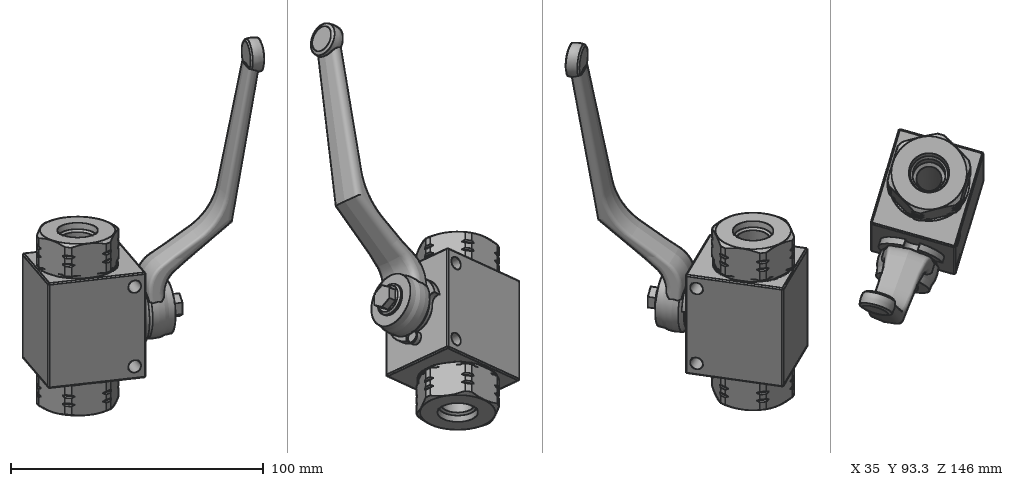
import cadquery as cq
import math


HEX_HALF_SECTOR = 30

BLOCK_WIDTH = 35.0
BLOCK_FRONT_Y = -17.5
BLOCK_BACK_Y = 23.0
BLOCK_HEIGHT = 44.7
BLOCK_CHAMFER = 0.6
MOUNT_HOLE_D = 5.3
MOUNT_HOLE_Y = 18.3
MOUNT_HOLE_Z = 17.0

FITTING_END_Z = 36.5
HEX_FLATS = 30.1
HEX_CORNER_D = 33.3
HEX_FACE_D = 29.8
HEX_CHAMFER_ANGLE = 30
NECK_D = 31.0
NECK_HEIGHT = 0.9
SEAT_D = 32.1
SEAT_DEPTH = 0.5
CORNER_GROOVE_D = 32.3
CORNER_GROOVE_WIDTH = 1.3
CORNER_GROOVE_DEPTHS = (5.1, 8.6)

BORE_D = 10.0
TUBE_SOCKET_D = 13.0
TUBE_SOCKET_DEPTH = 8.8
MOUTH_D = 16.0
MOUTH_BOTTOM_D = 14.9
MOUTH_DEPTH = 2.5
SOCKET_TOP_DEPTH = 3.4
SOCKET_END_ANGLE = 60

PLATE_D = 26.7
PLATE_THICKNESS = 2.8
STOP_PIN_D = 5.3
STOP_PIN_HEIGHT = 2.5
STOP_PIN_CHAMFER = 0.3
STOP_PITCH_R = 12.0
NOTCH_R = 3.0
NOTCH_CENTERS = [(0, STOP_PITCH_R), (-STOP_PITCH_R, 0), (0, -STOP_PITCH_R)]

HUB_BACK_Y = BLOCK_BACK_Y + PLATE_THICKNESS
HUB_END_Y = 34.5
HUB_D = 24.4
HUB_FACE_D = 20.5
HUB_RIM_D = 24.0
HUB_ROUND = 1.8
COVER_BASE_D = 22.6
COVER_TIP_D = 22.0
COVER_END_Y = 37.3
WASHER_D = 13.0
WASHER_TIP_D = 11.1
WASHER_EDGE_Y = 38.1
WASHER_END_Y = 38.9
SCREW_CORNERS = 9.8
SCREW_END_Y = 42.2

ARM_TIP_Z = 99.3
FRONT_ROOT = (HUB_BACK_Y, 17.2)
FRONT_ELBOW = (56.8, 36.7)
FRONT_TIP = (69.1, ARM_TIP_Z)
BACK_TIP = (74.7, ARM_TIP_Z)
BACK_ELBOW = (63.0, 34.6)
BACK_ROOT = (HUB_END_Y, 13.3)
FRONT_ROOT_RADIUS = 13.5
FRONT_ELBOW_RADIUS = 24.8
BACK_ROOT_RADIUS = 10.2

ARM_HUB_HALF_WIDTH = 10.4
ARM_HUB_Z = 6.5
ARM_NECK_HALF_WIDTH = 7.5
ARM_NECK_Z = 22.6
ARM_TIP_HALF_WIDTH = 5.4
ARM_ROOF_ANGLE = 7
ARM_FACE_MIN_NORMAL_Y = 0.1
ARM_BACK_ROUND = 2.6
ARM_FRONT_ROUND = 1.5

KNOB_D = 14.0
KNOB_RIM_D = 13.5
KNOB_FRONT_Y = 69.8
KNOB_BACK_Y = 75.8
KNOB_TOP_Z = 109.5
KNOB_Z = KNOB_TOP_Z - KNOB_D / 2
KNOB_DOME_HEIGHT = 0.6
KNOB_ROUND = 0.7


def disc_along_y(diameter, y_start, y_end, x=0, z=0):
    """Round disc with its axis along Y."""
    return (
        cq.Workplane("XZ", origin=(x, y_start, z))
        .circle(diameter / 2)
        .extrude(y_start - y_end)
    )


def revolve_about_y(outline):
    """Solid of revolution about Y, from (radius, y) points."""
    return (
        cq.Workplane("XY")
        .polyline(outline)
        .close()
        .revolve(360, (0, 0), (0, 1))
    )


def revolve_about_z(outline):
    """Solid of revolution about Z, from (radius, z) points."""
    return cq.Workplane("XZ").polyline(outline).close().revolve(360, (0, 0), (0, 1))



def make_block():
    depth = BLOCK_BACK_Y - BLOCK_FRONT_Y
    block = (
        cq.Workplane("XY")
        .box(BLOCK_WIDTH, depth, BLOCK_HEIGHT)
        .edges()
        .chamfer(BLOCK_CHAMFER)
        .translate((0, (BLOCK_FRONT_Y + BLOCK_BACK_Y) / 2, 0))
    )
    mount_holes = (
        cq.Workplane("YZ", origin=(-BLOCK_WIDTH / 2, 0, 0))
        .pushPoints([(MOUNT_HOLE_Y, MOUNT_HOLE_Z), (MOUNT_HOLE_Y, -MOUNT_HOLE_Z)])
        .circle(MOUNT_HOLE_D / 2)
        .extrude(BLOCK_WIDTH)
    )
    return block.cut(mount_holes)


def make_fitting():
    """Upper hexagonal end, with rounded corners, a chamfered face and a round neck."""
    block_top = BLOCK_HEIGHT / 2
    foot_z = block_top - SEAT_DEPTH
    neck_top = block_top + NECK_HEIGHT
    corner_r = HEX_CORNER_D / 2
    face_r = HEX_FACE_D / 2
    chamfer_height = (corner_r - face_r) * math.tan(math.radians(HEX_CHAMFER_ANGLE))
    hexagon = (
        cq.Workplane("XY", origin=(0, 0, foot_z))
        .polygon(6, HEX_FLATS / math.cos(math.radians(HEX_HALF_SECTOR)))
        .extrude(FITTING_END_Z - foot_z)
        .rotate((0, 0, 0), (0, 0, 1), HEX_HALF_SECTOR)
    )
    outline = [(0, foot_z), (NECK_D / 2, foot_z), (NECK_D / 2, neck_top), (corner_r, neck_top)]
    for groove_depth in reversed(CORNER_GROOVE_DEPTHS):
        groove_z = FITTING_END_Z - groove_depth
        outline += [
            (corner_r, groove_z - CORNER_GROOVE_WIDTH / 2),
            (CORNER_GROOVE_D / 2, groove_z),
            (corner_r, groove_z + CORNER_GROOVE_WIDTH / 2),
        ]
    outline += [
        (corner_r, FITTING_END_Z - chamfer_height),
        (face_r, FITTING_END_Z),
        (0, FITTING_END_Z),
    ]
    return hexagon.intersect(revolve_about_z(outline))


def make_seat():
    """Shallow round recess in the block's top face, around the fitting's neck."""
    return (
        cq.Workplane("XY", origin=(0, 0, BLOCK_HEIGHT / 2 - SEAT_DEPTH))
        .circle(SEAT_D / 2)
        .extrude(SEAT_DEPTH)
    )


def make_passage_half():
    """Upper half of the flow passage: plain bore, tube socket and tapered mouth."""
    socket_bottom = FITTING_END_Z - TUBE_SOCKET_DEPTH
    socket_taper = (TUBE_SOCKET_D - BORE_D) / 2 / math.tan(math.radians(SOCKET_END_ANGLE))
    return revolve_about_z([
        (0, 0),
        (BORE_D / 2, 0),
        (BORE_D / 2, socket_bottom - socket_taper),
        (TUBE_SOCKET_D / 2, socket_bottom),
        (TUBE_SOCKET_D / 2, FITTING_END_Z - SOCKET_TOP_DEPTH),
        (MOUTH_BOTTOM_D / 2, FITTING_END_Z - MOUTH_DEPTH),
        (MOUTH_D / 2, FITTING_END_Z),
        (0, FITTING_END_Z),
    ])


def make_stop_plate():
    """Disc with pin notches at three quarters and a 90 degree track for the stop pin."""
    plate = disc_along_y(PLATE_D, BLOCK_BACK_Y, HUB_BACK_Y)
    track_quarter = (
        cq.Workplane("XY")
        .box(PLATE_D, PLATE_THICKNESS, PLATE_D, centered=False)
        .translate((-PLATE_D, BLOCK_BACK_Y, -PLATE_D))
    )
    core = disc_along_y(2 * (STOP_PITCH_R - NOTCH_R), BLOCK_BACK_Y, HUB_BACK_Y)
    plate = plate.cut(track_quarter.cut(core))
    for x, z in NOTCH_CENTERS:
        plate = plate.cut(disc_along_y(2 * NOTCH_R, BLOCK_BACK_Y, HUB_BACK_Y, x, z))
    return plate


def make_stop_pin():
    pin_end = BLOCK_BACK_Y + STOP_PIN_HEIGHT
    pin = disc_along_y(STOP_PIN_D, BLOCK_BACK_Y, pin_end, 0, -STOP_PITCH_R)
    return pin.faces(">Y").chamfer(STOP_PIN_CHAMFER)


def make_housing():
    seat = make_seat()
    fitting = make_fitting()
    passage = make_passage_half()
    housing = make_block().cut(seat).cut(seat.mirror("XY"))
    housing = housing.union(fitting).union(fitting.mirror("XY"))
    housing = housing.cut(passage).cut(passage.mirror("XY"))
    return housing.union(make_stop_plate()).union(make_stop_pin())



def make_hub():
    """Crowned hub with the cover disc and washer stacked on its outer face."""
    middle_y = (HUB_BACK_Y + HUB_END_Y) / 2
    return revolve_about_y([
        (0, HUB_BACK_Y),
        (HUB_FACE_D / 2, HUB_BACK_Y),
        (HUB_RIM_D / 2, HUB_BACK_Y + HUB_ROUND),
        (HUB_D / 2, middle_y),
        (HUB_RIM_D / 2, HUB_END_Y - HUB_ROUND),
        (COVER_BASE_D / 2, HUB_END_Y),
        (COVER_TIP_D / 2, COVER_END_Y),
        (WASHER_D / 2, COVER_END_Y),
        (WASHER_D / 2, WASHER_EDGE_Y),
        (WASHER_TIP_D / 2, WASHER_END_Y),
        (0, WASHER_END_Y),
    ])


def make_screw_head():
    return (
        cq.Workplane("XZ", origin=(0, WASHER_END_Y, 0))
        .polygon(6, SCREW_CORNERS)
        .extrude(WASHER_END_Y - SCREW_END_Y)
        .rotate((0, 0, 0), (0, 1, 0), HEX_HALF_SECTOR)
    )


def rounded_corner(before, corner, after, radius):
    """Start, middle and end of the arc that rounds a corner of a side outline."""
    to_before = (cq.Vector(*before) - cq.Vector(*corner)).normalized()
    to_after = (cq.Vector(*after) - cq.Vector(*corner)).normalized()
    half_angle = to_before.getAngle(to_after) / 2
    tangent_length = radius / math.tan(half_angle)
    middle_distance = radius / math.sin(half_angle) - radius
    bisector = (to_before + to_after).normalized()
    points = (
        cq.Vector(*corner) + to_before * tangent_length,
        cq.Vector(*corner) + bisector * middle_distance,
        cq.Vector(*corner) + to_after * tangent_length,
    )
    return [(point.x, point.y) for point in points]


def make_arm_half():
    """Half of the cranked arm on the +X side; the taper gives its faces a slight roof."""
    front_foot = (HUB_BACK_Y, 0)
    back_foot = (HUB_END_Y, 0)
    front_root = rounded_corner(front_foot, FRONT_ROOT, FRONT_ELBOW, FRONT_ROOT_RADIUS)
    front_elbow = rounded_corner(FRONT_ROOT, FRONT_ELBOW, FRONT_TIP, FRONT_ELBOW_RADIUS)
    back_root = rounded_corner(BACK_ELBOW, BACK_ROOT, back_foot, BACK_ROOT_RADIUS)
    return (
        cq.Workplane("YZ")
        .moveTo(*front_foot)
        .lineTo(*front_root[0])
        .threePointArc(*front_root[1:])
        .lineTo(*front_elbow[0])
        .threePointArc(*front_elbow[1:])
        .lineTo(*FRONT_TIP)
        .lineTo(*BACK_TIP)
        .lineTo(*BACK_ELBOW)
        .lineTo(*back_root[0])
        .threePointArc(*back_root[1:])
        .lineTo(*back_foot)
        .close()
        .extrude(ARM_HUB_HALF_WIDTH, taper=ARM_ROOF_ANGLE)
    )


def make_arm_width():
    """Block that tapers the arm's width from the hub to the tip."""
    side = [
        (ARM_HUB_HALF_WIDTH, 0),
        (ARM_HUB_HALF_WIDTH, ARM_HUB_Z),
        (ARM_NECK_HALF_WIDTH, ARM_NECK_Z),
        (ARM_TIP_HALF_WIDTH, ARM_TIP_Z),
    ]
    other_side = [(-x, z) for x, z in reversed(side)]
    return cq.Workplane("XZ").polyline(side + other_side).close().extrude(-KNOB_BACK_Y)


def is_long_edge(edge):
    """True for an edge on either side of the arm that runs along it, clear of hub and knob."""
    center = edge.Center()
    is_at_side = abs(center.x) > ARM_TIP_HALF_WIDTH
    return is_at_side and ARM_HUB_Z < center.z < KNOB_Z - KNOB_D / 2


def round_long_edges(arm, y_sign, radius):
    """Round the arm's long edges on its back (y_sign = 1) or front (y_sign = -1)."""
    outer_faces = arm.faces().filter(lambda face: y_sign * face.normalAt().y > ARM_FACE_MIN_NORMAL_Y)
    return outer_faces.edges().filter(is_long_edge).fillet(radius)


def make_arm():
    half = make_arm_half()
    arm = half.union(half.mirror("YZ")).intersect(make_arm_width())
    arm = round_long_edges(arm, 1, ARM_BACK_ROUND)
    return round_long_edges(arm, -1, ARM_FRONT_ROUND)


def make_knob():
    """Round knob with a slightly bulged rim and a shallow dome on its back."""
    front_edge_y = KNOB_FRONT_Y + KNOB_ROUND
    back_edge_y = KNOB_BACK_Y - KNOB_DOME_HEIGHT
    rim_r = KNOB_RIM_D / 2
    return (
        cq.Workplane("XY", origin=(0, 0, KNOB_Z))
        .moveTo(0, KNOB_FRONT_Y)
        .lineTo(rim_r - KNOB_ROUND, KNOB_FRONT_Y)
        .lineTo(rim_r, front_edge_y)
        .threePointArc((KNOB_D / 2, (front_edge_y + back_edge_y) / 2), (rim_r, back_edge_y))
        .lineTo(rim_r - 2 * KNOB_ROUND, KNOB_BACK_Y)
        .lineTo(0, KNOB_BACK_Y)
        .close()
        .revolve(360, (0, 0), (0, 1))
    )


def make_handle():
    return make_hub().union(make_screw_head()).union(make_arm()).union(make_knob())


housing = make_housing()
handle = make_handle()

result = cq.Compound.makeCompound([housing.val(), handle.val()])